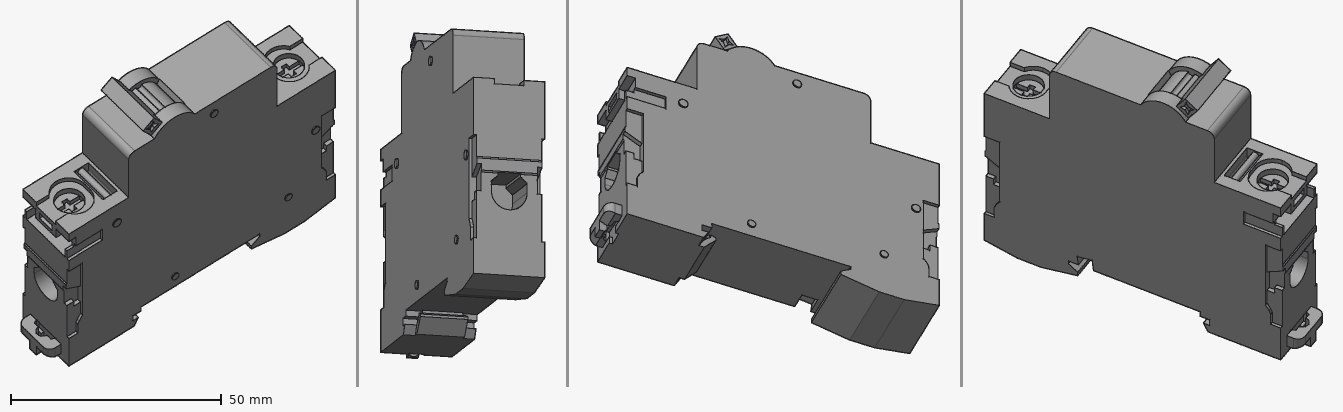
import cadquery as cq


width = 17.6
depth = 80.9
shoulder_height = 49.45
crown_height = 65.4
crown_front = 18.1
crown_back = 63.15
crown_fillet = 1.9
half_width = width / 2
wide = 2 * width

seat_height = 5.5
seat_front = 21.95
seat_back = 57.95
heel_tip = 55.4

dome_radius = 7.2
dome_y = 32.1
dome_z = 61.6
lever_gap = 9.8
drum_radius = 5.95
lever_tilt = 35
lever_reach = 9.7
lever_offset = 0.6
lever_bar_length = 16.1
lever_bar_thickness = 4.1
lever_bar_height = 4.25
star_scale = 0.62
star_waist = 0.85
star_depth = 0.85

grip_depth = 0.8
ridge_height = 0.25
screw_y = 7.15
wire_radius = 4.4
wire_z = 22.1
wire_depth = 12.8

clip_reach = 3.9
clip_width = 11.75
clip_bottom = 2.1
clip_seat_depth = 0.85
stem_width = 2.55
stem_back = 1.8
hook_tip = 24.3
hook_neck = 23

rivet_height = 0.3
rivets = [
    (14.5, 42.9, 2.4),
    (32.2, 9.45, 2.0),
    (44.0, 61.4, 2.2),
    (66.55, 13.0, 2.0),
    (74.8, 31.8, 2.3),
]


def box(x0, x1, y0, y1, z0, z1):
    """Axis-aligned block between two corners."""
    return cq.Workplane("XY").box(x1 - x0, y1 - y0, z1 - z0, centered=False).translate((x0, y0, z0))


def mid_box(x_size, y0, y1, z0, z1):
    """Block centred across the width."""
    return box(-x_size / 2, x_size / 2, y0, y1, z0, z1)


def side_plate(points, x_size):
    """Side outline in (y, z), extruded evenly about the middle of the width."""
    return cq.Workplane("YZ").polyline(points).close().extrude(x_size / 2, both=True)


def at_both_sides(tool):
    """Copy a tool to the opposite X side."""
    return tool.union(tool.mirror("YZ"))


def at_both_ends(tool):
    """Copy a tool to the opposite terminal end."""
    return tool.union(tool.mirror("XZ").translate((0, depth, 0)))


def housing():
    """Stepped body with the rail seat in its underside and the toggle dome on its crown."""
    outline = [
        (0, 0),
        (0, shoulder_height),
        (crown_front, shoulder_height),
        (crown_front, crown_height),
        (crown_back, crown_height),
        (crown_back, shoulder_height),
        (depth, shoulder_height),
        (depth, 1.7),
        (71.8, 0),
        (65.35, 0),
        (heel_tip, 1.9),
        (heel_tip, 3.0),
        (seat_back, 4.7),
        (seat_back, seat_height),
        (seat_front, seat_height),
        (seat_front, 4.1),
        (19.4, 4.1),
        (19.4, 2.3),
        (21.1, 2.3),
        (19.8, 0),
    ]
    body = side_plate(outline, width)
    for y in (crown_front, crown_back):
        body = body.edges(cq.selectors.NearestToPointSelector((0, y, crown_height))).fillet(crown_fillet)
    dome = cq.Workplane("YZ").center(dome_y, dome_z).circle(dome_radius).extrude(half_width, both=True)
    return body.union(dome)


def heel_pocket():
    """Blind pocket above the rail heel, open to the seat and to the -X side."""
    pocket_depth = 4.25
    outline = [(51.1, 5.1), (51.5, 8.7), (55.6, 8.1), (55.15, 5.1)]
    start = -half_width
    return cq.Workplane("YZ", origin=(start, 0, 0)).polyline(outline).close().extrude(pocket_depth)


def lever_slot():
    """Gap between the two cheeks of the dome, around the lever drum, with a sloping back wall."""
    floor_radius = 4.25
    floor_z = 63.7
    ceiling_z = crown_height + 5.1
    front = dome_y - 6.1
    back = dome_y + 6.3
    back_slope = 0.85
    ring = cq.Workplane("YZ").center(dome_y, dome_z).circle(dome_radius + 0.85).circle(floor_radius)
    window = [
        (front, floor_z),
        (front, ceiling_z),
        (back, ceiling_z),
        (back, crown_height),
        (back - back_slope, floor_z),
    ]
    return ring.extrude(lever_gap / 2, both=True).intersect(side_plate(window, lever_gap))


def drum_groove():
    """Round groove along the top of the drum, behind the lever stem."""
    groove_y = 32.1
    groove_radius = 0.85
    groove = cq.Workplane("YZ").center(groove_y, dome_z + drum_radius).circle(groove_radius)
    return groove.extrude(lever_gap / 2, both=True)


def lever():
    """Drum, stem and bar, built upright about the dome axis and then tilted forward."""
    half_bar = lever_bar_thickness / 2
    bar_bottom = lever_reach - lever_bar_height / 2
    bar_front = -lever_offset - half_bar
    bar_back = -lever_offset + half_bar
    drum = cq.Workplane("YZ").circle(drum_radius).extrude(lever_gap / 2, both=True)
    stem = mid_box(lever_gap, bar_front, bar_back, 0, bar_bottom)
    bar = mid_box(lever_bar_length, bar_front, bar_back, bar_bottom, bar_bottom + lever_bar_height)

    tip_y = star_scale * half_bar
    tip_z = star_scale * lever_bar_height / 2
    star = [
        (tip_y, tip_z),
        (0, star_waist),
        (-tip_y, tip_z),
        (-star_waist, 0),
        (-tip_y, -tip_z),
        (0, -star_waist),
        (tip_y, -tip_z),
        (star_waist, 0),
    ]
    recess = (
        cq.Workplane("YZ", origin=(-lever_bar_length / 2, -lever_offset, lever_reach))
        .polyline(star)
        .close()
        .extrude(star_depth)
    )
    upright = drum.union(stem).union(bar).cut(at_both_sides(recess))
    tilted = upright.rotate((0, 0, 0), (1, 0, 0), lever_tilt)
    return tilted.translate((0, dome_y, dome_z)).cut(drum_groove())


def screw_well():
    """Shallow well in the shoulder, with the screw hole and the cross recess in its head."""
    well_depth = 1.3
    well_width = 11.6
    well_radius = 4.7
    well_y = 7.8
    slack = 0.01
    neck_width = 7.3
    head_radius = 3.75
    head_depth = 1.7
    cross_depth = 1.3
    well_floor = shoulder_height - well_depth
    head_z = well_floor - head_depth
    cross_floor = head_z - cross_depth

    lobes = mid_box(
        well_width, well_y - well_radius, well_y + well_radius, well_floor, shoulder_height
    ).edges("|Z").fillet(well_radius - slack)
    neck = mid_box(neck_width, 0, well_y, well_floor, shoulder_height)
    head = cq.Workplane("XY", origin=(0, screw_y, head_z)).circle(head_radius).extrude(head_depth)
    blade_width = 1.5
    arm_span = 3.8
    blade = mid_box(blade_width, screw_y - head_radius, screw_y + head_radius, cross_floor, head_z)
    arms = mid_box(arm_span, screw_y - blade_width / 2, screw_y + blade_width / 2, cross_floor, head_z)
    return lobes.union(neck).union(head).union(blade).union(arms)


def wire_entry():
    """Round wire hole whose top narrows to a neck below the face ridge."""
    neck = 2.8
    neck_z = wire_z + 3.75
    top_z = wire_z + 4.5
    shoulder_z = wire_z + 2.2
    outline = [
        (-wire_radius, wire_z),
        (-wire_radius, shoulder_z),
        (-neck, neck_z),
        (-neck, top_z),
        (neck, top_z),
        (neck, neck_z),
        (wire_radius, shoulder_z),
        (wire_radius, wire_z),
    ]
    start = -2 * ridge_height
    plane = cq.Workplane("XZ", origin=(0, start, 0))
    arch = plane.polyline(outline).close().extrude(start - wire_depth)
    bore = plane.center(0, wire_z).circle(wire_radius).extrude(start - wire_depth)
    return arch.union(bore)


def face_ridge():
    """Low trapezoid rib across the terminal face."""
    root = 0.85
    outline = [
        (root, 26.5),
        (0, 26.5),
        (-ridge_height, 26.9),
        (-ridge_height, 29.8),
        (0, 30.2),
        (root, 30.2),
    ]
    return side_plate(outline, width - 2 * grip_depth)


def grip_recess():
    """Shallow side recess beside the terminal, with a deeper finger notch inside it."""
    top = 35.5
    margin = 0.85
    recess_back = 4.2
    bottom_back = 2.7
    outline = [
        (-margin, top),
        (recess_back, top),
        (recess_back, 16.0),
        (bottom_back + 0.4, 14.6),
        (bottom_back, 13.6),
        (bottom_back, 10.4),
        (-margin, 10.4),
    ]
    notch = [
        (-margin, 28.8),
        (recess_back, 26.1),
        (recess_back, 20.2),
        (2.1, 20.2),
        (2.1, 21.95),
        (-margin, 21.95),
    ]
    notch_depth = 1.9
    shallow = side_plate(outline, wide).cut(mid_box(width - 2 * grip_depth, -2 * margin, depth, 0, top))
    deep = side_plate(notch, wide).cut(mid_box(width - 2 * notch_depth, -2 * margin, depth, 0, top))
    return shallow.union(deep)


def marker_slot():
    """Label-carrier opening across the front face, under a narrow centre block."""
    slot_bottom = 39.6
    slot_top = 43.5
    slot_depth = 10.1
    lip_top = 42.5
    corner_top = 46.6
    corner_depth = 2.1
    cavity_width = 14.6
    block_width = 7.75
    window_width = 4.8
    window_depth = 2.1
    window_bottom = 44.7

    cavity = mid_box(cavity_width, 0, slot_depth, slot_bottom, slot_top)
    gap = mid_box(wide, 0, corner_depth, lip_top, slot_top)
    strip = box(-wide, grip_depth - half_width, 0, slot_depth, slot_bottom, slot_top)
    corner = box(-wide, -block_width / 2, 0, corner_depth, slot_top, corner_top)
    window = mid_box(window_width, 0, window_depth, window_bottom, corner_top)
    return cavity.union(gap).union(window).union(at_both_sides(strip.union(corner)))


def label_window():
    """Pocket in the front shoulder with a bevelled front, a coved back corner and a round bar across it."""
    length = 11.0
    front = 12.9
    back = 17.3
    lip = 1.0
    cove = 1.4
    floor_z = shoulder_height - 3.8
    bar_radius = 1.0
    bar_y = front + lip + bar_radius
    bar_z = shoulder_height - 1.45
    end_plane = cq.Workplane("YZ", origin=(-length / 2, 0, 0))
    pocket = (
        end_plane
        .moveTo(front, shoulder_height)
        .lineTo(front + lip, shoulder_height - lip)
        .lineTo(front + lip, floor_z)
        .lineTo(back - cove, floor_z)
        .radiusArc((back, floor_z + cove), -cove)
        .lineTo(back, shoulder_height)
        .close()
        .extrude(length)
    )
    bar = end_plane.center(bar_y, bar_z).circle(bar_radius).extrude(length)
    return pocket.cut(bar)


def clip_seat():
    """Slot in the front face that the tab slides into, and the narrow groove behind its stem."""
    groove_width = 3.7
    slot = mid_box(clip_width, 0, clip_seat_depth, clip_bottom, seat_height)
    groove = mid_box(groove_width, 0, clip_seat_depth, 0, clip_bottom)
    return slot.union(groove)


def rail_clip():
    """Pull tab at the front with its stem, and the hook under the rail seat."""
    slope_rise = 0.9
    clip_corner = 2.0
    tab_outline = [
        (clip_seat_depth, clip_bottom),
        (-stem_back, clip_bottom),
        (-clip_reach, clip_bottom + slope_rise),
        (-clip_reach, seat_height),
        (clip_seat_depth, seat_height),
    ]
    tab = side_plate(tab_outline, clip_width)
    plan = mid_box(clip_width, -clip_reach, clip_seat_depth, 0, seat_height)
    plan = plan.edges("|Z and <Y").fillet(clip_corner)

    eye_y = -0.9
    eye_radius = 1.6
    mouth = 3.7
    throat = 3.15
    opening = (
        cq.Workplane("XY")
        .moveTo(-mouth, clip_seat_depth)
        .lineTo(-mouth, 0)
        .lineTo(-throat, eye_y)
        .lineTo(-eye_radius, eye_y)
        .threePointArc((0, eye_y - eye_radius), (eye_radius, eye_y))
        .lineTo(throat, eye_y)
        .lineTo(mouth, 0)
        .lineTo(mouth, clip_seat_depth)
        .close()
        .extrude(seat_height)
    )
    stem_chamfer = 0.85
    stem_top = seat_height - 1.7
    stem_outline = [
        (-stem_back, stem_top),
        (-stem_back, stem_chamfer),
        (-stem_back - stem_chamfer, 0),
        (-clip_reach, 0),
        (-clip_reach, stem_top),
    ]
    stem = side_plate(stem_outline, stem_width)

    hook_outline = [
        (hook_tip, 3.7),
        (hook_tip, 4.25),
        (hook_neck, 4.85),
        (hook_neck, 4.25),
        (21.1, 2.3),
        (19.8, 0),
        (21.3, 0),
    ]
    web_inset = 0.85
    web_front = 18.7
    web_top = seat_height + 0.85
    web_width = clip_width - 2 * web_inset
    web_outline = [
        (21.3, 0),
        (hook_neck, 4.25),
        (hook_neck, web_top),
        (web_front, web_top),
        (web_front, 0),
    ]
    hook = side_plate(hook_outline, clip_width).union(side_plate(web_outline, web_width))
    return tab.intersect(plan).cut(opening).union(stem.cut(opening)).union(hook)


def rivet_heads():
    """Flat round heads standing on the +X side."""
    heads = cq.Workplane("YZ", origin=(half_width, 0, 0))
    for y, z, diameter in rivets:
        heads = heads.moveTo(y, z).circle(diameter / 2)
    return heads.extrude(rivet_height)


result = (
    housing()
    .union(at_both_ends(face_ridge()))
    .cut(at_both_ends(grip_recess()))
    .cut(at_both_ends(wire_entry()))
    .cut(at_both_ends(screw_well()))
    .cut(marker_slot())
    .cut(label_window())
    .cut(heel_pocket())
    .cut(clip_seat())
    .cut(lever_slot())
    .union(lever())
    .union(rail_clip())
    .union(rivet_heads())
)